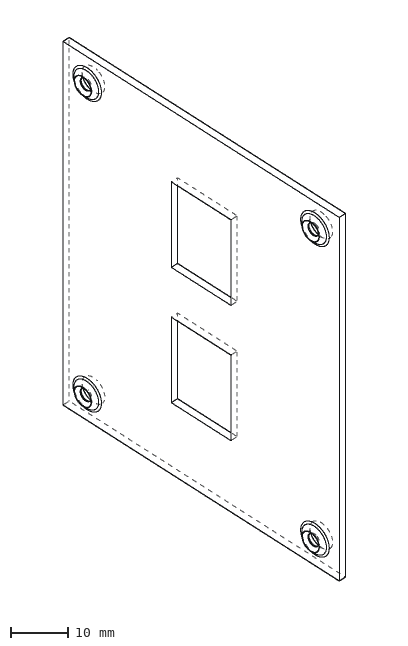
import cadquery as cq

plate_width = 68.1
plate_height = 82.0
total_depth = 2.6
boss_height = 1.1
plate_thickness = total_depth - boss_height

window_width = 14.7
window_height = 19.3
window_offset = 15.3

boss_offset_x = 28.05
boss_offset_z = 35.0
base_radius = 3.5
flare_radius = 3.0
flare_height = 0.205
rim_radius = 2.1
mouth_radius = 2.05
hole_radius = 1.3
mouth_depth = 0.65
throat_length = 0.25
back_radius = 2.8

front_y = -plate_thickness / 2
back_y = plate_thickness / 2
rim_y = front_y - boss_height
flare_y = front_y - flare_height
seat_y = rim_y + mouth_depth
throat_y = seat_y + throat_length


def revolve_about_y(profile, x, z):
    """Revolve a closed radius-Y profile about a Y-parallel axis."""
    return profile.close().revolve(360, (0, 0), (0, 1)).translate((x, 0, z))


def make_boss(x, z):
    """Solid boss with a shallow flared foot and a conical side."""
    profile = (
        cq.Workplane("XY")
        .moveTo(0, back_y)
        .lineTo(base_radius, back_y)
        .lineTo(base_radius, front_y)
        .lineTo(flare_radius, flare_y)
        .lineTo(rim_radius, rim_y)
        .lineTo(0, rim_y)
    )
    return revolve_about_y(profile, x, z)


def make_hole(x, z):
    """Through hole tapered at the boss rim and countersunk from the back of the plate."""
    profile = (
        cq.Workplane("XY")
        .moveTo(0, back_y)
        .lineTo(back_radius, back_y)
        .lineTo(hole_radius, throat_y)
        .lineTo(hole_radius, seat_y)
        .lineTo(mouth_radius, rim_y)
        .lineTo(0, rim_y)
    )
    return revolve_about_y(profile, x, z)


result = cq.Workplane("XY").box(plate_width, plate_thickness, plate_height)

for z in (-window_offset, window_offset):
    window = cq.Workplane("XY").box(window_width, plate_thickness, window_height)
    result = result.cut(window.translate((0, 0, z)))

for x in (-boss_offset_x, boss_offset_x):
    for z in (-boss_offset_z, boss_offset_z):
        result = result.union(make_boss(x, z)).cut(make_hole(x, z))